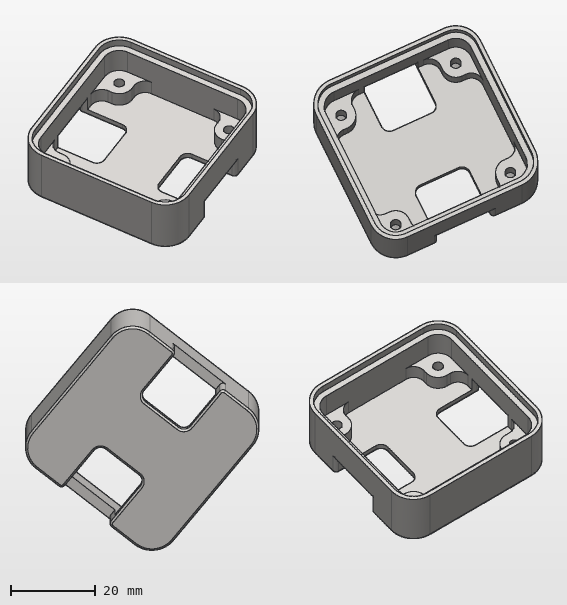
import cadquery as cq
import math

side = 43.0
height = 15.0
corner_radius = 6.5
bottom_chamfer = 0.5
floor_thickness = 2.0
wall_thickness = 2.5

lip_thickness = 1.0
lip_depth = 2.0

pad_top = 6.0
pad_radius = 3.5
pad_blend_radius = 3.0
hole_diameter = 2.55
drill_tip_angle = 118.0

opening_width = 14.0
opening_reach = 14.0
opening_height = 6.0
opening_corner_radius = 2.0
opening_flare_radius = 1.0

half_side = side / 2
hole_offset = half_side - corner_radius
quadrants = [(1, 1), (-1, 1), (-1, -1), (1, -1)]
arc_middle = math.sqrt(0.5)


def rounded_block(inset, bottom, top):
    """Square block concentric with the box, its rounded sides inset evenly."""
    width = side - 2 * inset
    block = cq.Workplane("XY").workplane(offset=bottom).rect(width, width).extrude(top - bottom)
    return block.edges("|Z").fillet(corner_radius - inset)


def make_shell():
    outer = rounded_block(inset=0, bottom=0, top=height)
    cavity = rounded_block(wall_thickness, floor_thickness, height)
    lip_recess = rounded_block(lip_thickness, height - lip_depth, height)
    return outer.cut(cavity).cut(lip_recess)


def make_pad(x_sign, y_sign):
    """Pad rounded around its hole and blended tangentially into both walls."""
    wall = corner_radius - wall_thickness
    blend_centre = wall - pad_blend_radius
    blend_end = -pad_radius - pad_blend_radius
    blend_middle = pad_blend_radius * arc_middle

    def place(toward_x_wall, toward_y_wall):
        return x_sign * (hole_offset + toward_x_wall), y_sign * (hole_offset + toward_y_wall)

    return (
        cq.Workplane("XY")
        .workplane(offset=floor_thickness)
        .moveTo(*place(wall, wall))
        .lineTo(*place(blend_end, wall))
        .threePointArc(
            place(blend_end + blend_middle, blend_centre + blend_middle),
            place(-pad_radius, blend_centre),
        )
        .lineTo(*place(-pad_radius, 0))
        .threePointArc(
            place(-pad_radius * arc_middle, -pad_radius * arc_middle),
            place(0, -pad_radius),
        )
        .lineTo(*place(blend_centre, -pad_radius))
        .threePointArc(
            place(blend_centre + blend_middle, blend_end + blend_middle),
            place(wall, blend_end),
        )
        .close()
        .extrude(pad_top - floor_thickness)
    )


def make_hole(x_sign, y_sign):
    """Drilled hole down to floor level, ending in a conical drill tip."""
    radius = hole_diameter / 2
    tip_depth = radius / math.tan(math.radians(drill_tip_angle / 2))
    return (
        cq.Workplane("XZ")
        .moveTo(0, floor_thickness - tip_depth)
        .lineTo(radius, floor_thickness)
        .lineTo(radius, pad_top)
        .lineTo(0, pad_top)
        .close()
        .revolve(360, (0, 0), (0, 1))
        .translate((x_sign * hole_offset, y_sign * hole_offset, 0))
    )


def make_opening(x_sign):
    """Opening with rounded inner corners, flaring outward at the outer wall face."""
    half_width = opening_width / 2
    flare = opening_flare_radius
    flare_start = half_side - flare
    flare_x = flare_start + flare * arc_middle
    flare_y = half_width + flare * (1 - arc_middle)
    inner_side = "<X" if x_sign > 0 else ">X"
    slot = (
        cq.Workplane("XY")
        .center(x_sign * (half_side - opening_reach / 2), 0)
        .rect(opening_reach, opening_width)
        .extrude(opening_height)
        .edges(f"|Z and {inner_side}")
        .fillet(opening_corner_radius)
    )
    mouth = (
        cq.Workplane("XY")
        .moveTo(x_sign * flare_start, -half_width)
        .threePointArc(
            (x_sign * flare_x, -flare_y),
            (x_sign * half_side, -half_width - flare),
        )
        .lineTo(x_sign * half_side, half_width + flare)
        .threePointArc(
            (x_sign * flare_x, flare_y),
            (x_sign * flare_start, half_width),
        )
        .close()
        .extrude(opening_height)
    )
    return slot.union(mouth)


result = make_shell()
for x_sign, y_sign in quadrants:
    result = result.union(make_pad(x_sign, y_sign)).cut(make_hole(x_sign, y_sign))
for x_sign in (-1, 1):
    result = result.cut(make_opening(x_sign))

result = result.faces("<Z").edges().chamfer(bottom_chamfer)